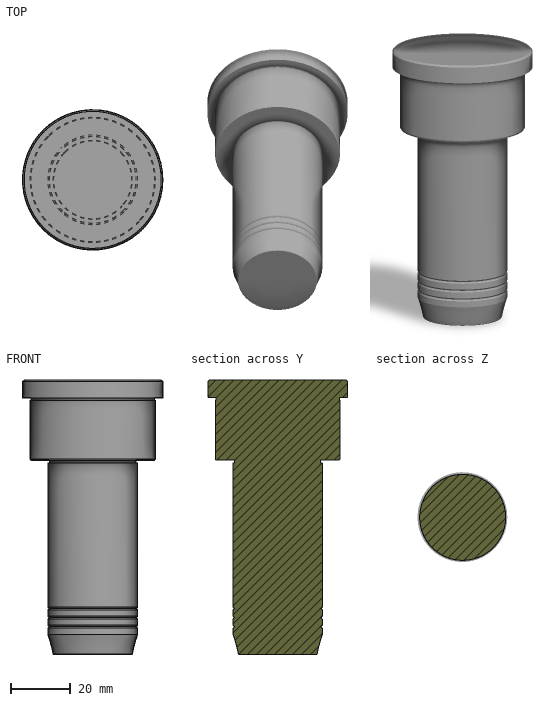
import cadquery as cq

total_length = 92.0
head_diameter = 47.0
collar_diameter = 41.95
shank_diameter = 30.1
head_thickness = 6.0
collar_bottom_depth = 27.0

head_chamfer = 0.55
collar_chamfer_height = 0.55
collar_chamfer_width = 0.3
relief_height = 0.8
collar_relief_depth = 0.3
shank_relief_depth = 0.55

groove_count = 3
groove_pitch = 3.0
groove_width = 1.0
groove_depth = 0.5
lowest_groove_z = 9.4
tip_height = 6.8
tip_diameter = 26.5
tip_hollow = 0.14
tip_chamfer = 0.2

head_bottom_z = total_length - head_thickness
shank_radius = shank_diameter / 2
collar_bottom_z = total_length - collar_bottom_depth


def cylinder(diameter, bottom_z, top_z):
    return cq.Workplane("XY").workplane(offset=bottom_z).circle(diameter / 2).extrude(top_z - bottom_z)


def revolve_profile(profile):
    return profile.close().revolve(360, (0, 0, 0), (0, 1, 0))


def vee_groove(middle_z):
    """Ring cutter with a triangular section whose sides run past the shank surface."""
    bottom_radius = shank_radius - groove_depth
    outer_radius = shank_radius + groove_depth
    return revolve_profile(
        cq.Workplane("XZ")
        .moveTo(bottom_radius, middle_z)
        .lineTo(outer_radius, middle_z - groove_width)
        .lineTo(outer_radius, middle_z + groove_width)
    )


head = cylinder(head_diameter, head_bottom_z, total_length).faces(">Z").chamfer(head_chamfer)

collar_radius = collar_diameter / 2
collar_relief_radius = collar_radius - collar_relief_depth
collar_relief_z = head_bottom_z - relief_height
collar = revolve_profile(
    cq.Workplane("XZ")
    .moveTo(0, collar_bottom_z)
    .lineTo(collar_radius - collar_chamfer_width, collar_bottom_z)
    .lineTo(collar_radius, collar_bottom_z + collar_chamfer_height)
    .lineTo(collar_radius, collar_relief_z)
    .lineTo(collar_relief_radius, collar_relief_z)
    .lineTo(collar_relief_radius, head_bottom_z)
    .lineTo(0, head_bottom_z)
)

shank_relief_z = collar_bottom_z - relief_height
shank = cylinder(shank_diameter, tip_height, shank_relief_z)
shank_neck = cylinder(shank_diameter - 2 * shank_relief_depth, shank_relief_z, collar_bottom_z)
for index in range(groove_count):
    shank = shank.cut(vee_groove(lowest_groove_z + index * groove_pitch))

tip_radius = tip_diameter / 2
tip_middle_radius = (shank_radius + tip_radius) / 2 - tip_hollow
tip = revolve_profile(
    cq.Workplane("XZ")
    .lineTo(tip_radius - tip_chamfer, 0)
    .lineTo(tip_radius, tip_chamfer)
    .threePointArc((tip_middle_radius, (tip_chamfer + tip_height) / 2), (shank_radius, tip_height))
    .lineTo(0, tip_height)
)

result = head.union(collar).union(shank_neck).union(shank).union(tip)